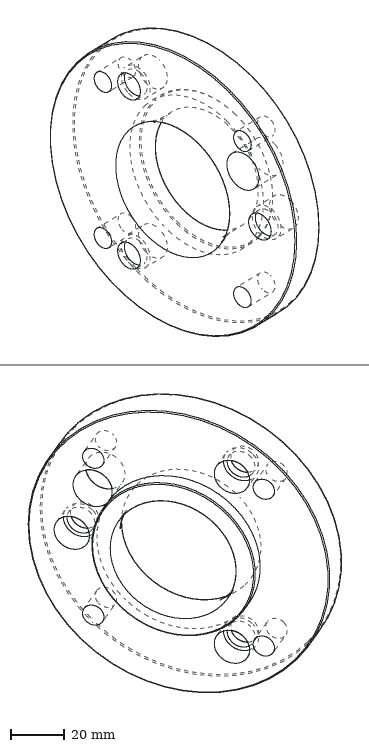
import cadquery as cq
import math

flange_diameter = 120.0
flange_thickness = 14.0
boss_diameter = 65.0
boss_height = 6.0
total_depth = flange_thickness + boss_height
edge_chamfer = 0.5

bore_diameter = 50.0
bore_mouth_diameter = 55.5
cone_depth = 10.0

bolt_hole_diameter = 11.0
bolt_circle_radius = 42.5
bolt_count = 3
bolt_seat_depth = 4.0
bolt_counterbore_diameter = 14.0
pin_hole_diameter = 8.5
pin_circle_radius = 48.0
pin_count = 4
pin_start_angle = 45.0
access_hole_diameter = 15.6
access_circle_radius = 40.1
access_hole_angle = 31.5


def disc(diameter, front, depth):
    """Cylinder about the part axis, running from y = front towards +Y."""
    return cq.Workplane("XZ", origin=(0, front, 0)).circle(diameter / 2).extrude(-depth)


def ring_of_holes(body, diameter, radius, count, start_angle, front=0):
    """Cut evenly spaced holes, open at the back, on a circle about the part axis."""
    for index in range(count):
        angle = math.radians(start_angle + index * 360 / count)
        x = radius * math.cos(angle)
        z = radius * math.sin(angle)
        body = body.cut(disc(diameter, front, total_depth).translate((x, 0, z)))
    return body


flange = disc(flange_diameter, 0, flange_thickness).edges().chamfer(edge_chamfer)
boss = disc(boss_diameter, flange_thickness, boss_height).faces(">Y").edges().chamfer(edge_chamfer)
body = flange.union(boss)

bore = (
    cq.Workplane("XY")
    .moveTo(0, 0)
    .lineTo(bore_mouth_diameter / 2, 0)
    .lineTo(bore_diameter / 2, cone_depth)
    .lineTo(bore_diameter / 2, total_depth)
    .lineTo(0, total_depth)
    .close()
    .revolve(360, (0, 0, 0), (0, 1, 0))
)
body = body.cut(bore)

body = ring_of_holes(body, bolt_hole_diameter, bolt_circle_radius, bolt_count, 0)
body = ring_of_holes(
    body, bolt_counterbore_diameter, bolt_circle_radius, bolt_count, 0, bolt_seat_depth
)
body = ring_of_holes(body, pin_hole_diameter, pin_circle_radius, pin_count, pin_start_angle)
body = ring_of_holes(body, access_hole_diameter, access_circle_radius, 1, access_hole_angle)

result = body